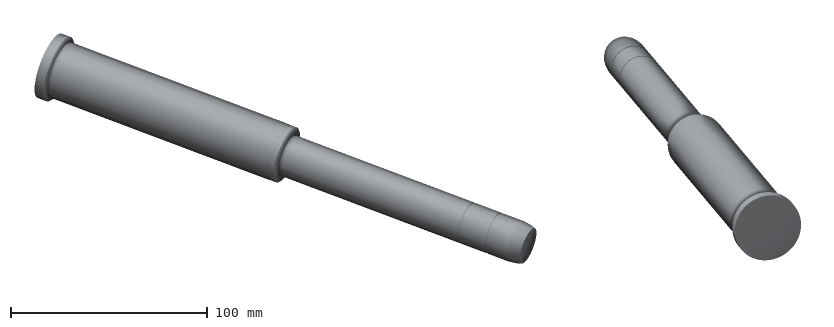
import cadquery as cq
import math

total_length = 271.0
head_diameter = 35.0
head_length = 6.0
body_diameter = 30.0
body_end = 135.0
shaft_diameter = 22.0

head_chamfer = 0.8
body_chamfer = 0.8

relief_length = 5.0
relief_depth = 0.1

groove_width = 1.0
groove_depth = 0.3
shaft_groove_starts = (236.0, 251.5)

nose_length = 7.0
nose_end_diameter = 19.2


def cylinder(start, end, diameter):
    """Solid round section between two positions along X."""
    return cq.Workplane("YZ", origin=(start, 0, 0)).circle(diameter / 2).extrude(end - start)


def ring_groove(start, diameter, width, depth):
    """Ring of material to remove from a round section of the given diameter."""
    end = start + width
    return cylinder(start, end, diameter).cut(cylinder(start, end, diameter - 2 * depth))


def make_head():
    return cylinder(0, head_length, head_diameter).faces(">X").edges().chamfer(head_chamfer)


def make_body():
    body = cylinder(head_length, body_end, body_diameter)
    body = body.cut(ring_groove(head_length, body_diameter, groove_width, groove_depth))
    relief = ring_groove(body_end - relief_length, body_diameter, relief_length, relief_depth)
    return body.cut(relief).faces(">X").edges().chamfer(body_chamfer)


def make_nose():
    start = total_length - nose_length
    shaft_radius = shaft_diameter / 2
    end_radius = nose_end_diameter / 2
    drop = shaft_radius - end_radius
    arc_radius = (nose_length**2 + drop**2) / (2 * drop)
    middle_x = nose_length / 2
    middle_drop = arc_radius - math.sqrt(arc_radius**2 - middle_x**2)
    arc_middle = (start + middle_x, shaft_radius - middle_drop)
    return (
        cq.Workplane("XY")
        .moveTo(start, 0)
        .lineTo(start, shaft_radius)
        .threePointArc(arc_middle, (total_length, end_radius))
        .lineTo(total_length, 0)
        .close()
        .revolve(360, (0, 0, 0), (1, 0, 0))
    )


def make_shaft():
    shaft = cylinder(body_end, total_length - nose_length, shaft_diameter)
    for start in (body_end, *shaft_groove_starts):
        shaft = shaft.cut(ring_groove(start, shaft_diameter, groove_width, groove_depth))
    return shaft


result = make_head().union(make_body()).union(make_shaft()).union(make_nose())